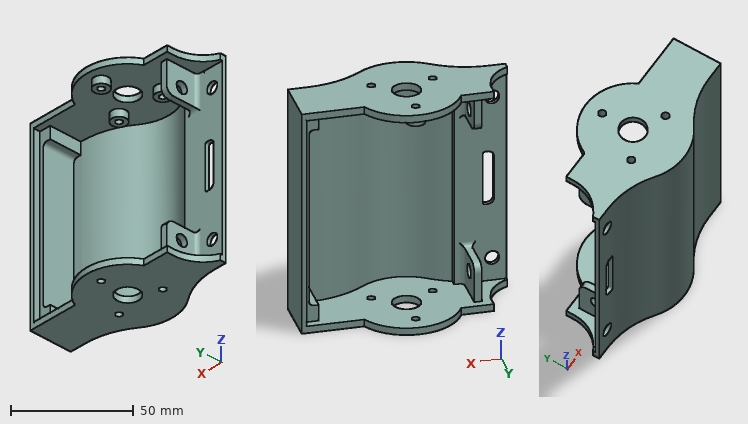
import cadquery as cq
import math

height = 101.2
left_end = -45.0
right_end = 47.0
back = 10.4
front_flat = -12.5

wall = 2.0
bulge_radius = 25.0
blend_radius = 40.0
blend_rise = bulge_radius + blend_radius
blend_y = front_flat - blend_radius
blend_x = math.sqrt(blend_rise**2 - blend_y**2)

plate = 3.2
disc_radius = bulge_radius - wall
scoop_x = -34.3
scoop_y = 6.8
scoop_tip_y = -9.4
center_hole = 12.0
bolt_hole = 3.3
bolt_circle = 15.0
bolt_angles = (90, 210, 330)
boss_diameter = 8.0
boss_height = 3.9

tab_face = -30.2
tab_thickness = 3.2
tab_back = tab_face + tab_thickness
tab_top_height = 19.6
tab_bottom_height = 20.2
tab_corner = 3.9
tab_hole = 6.0
tab_hole_y = -1.8
tab_hole_z = 37.3
inner_fillet = 2.0

rebate_wall = wall
right_wall = 2 * wall
block_depth = 4.0
block_top_height = 9.8
block_bottom_height = 10.5

screw_hole = 6.0
screw_hole_x = -39.0
screw_hole_z = 37.0
slot_left = -39.8
slot_right = -35.0
slot_length = 24.2
slot_left_corner = 2.6
slot_right_corner = 0.8

half = height / 2
inner_half = half - plate
floor_y = front_flat + wall
floor_end = tab_back + 2 * inner_fillet
wall_face = right_end - right_wall
edge_margin = 0.1


def box(x0, x1, y0, y1, z0, z1):
    """Axis-aligned block between two opposite corners."""
    return cq.Workplane("XY").box(x1 - x0, y1 - y0, z1 - z0, centered=False).translate((x0, y0, z0))


def front_region(offset):
    """Full-height solid behind the front surface moved inwards by offset, up to the rear edge."""
    bulge = bulge_radius - offset
    blend = blend_radius + offset
    flat_y = front_flat + offset
    join_x = blend_x * bulge / blend_rise
    join_y = blend_y * bulge / blend_rise
    half_angle = math.atan2(blend_x, -blend_y) / 2
    mid_x = blend_x - blend * math.sin(half_angle)
    mid_y = blend_y + blend * math.cos(half_angle)
    return (
        cq.Workplane("XY")
        .workplane(offset=-half)
        .moveTo(left_end, back)
        .lineTo(left_end, flat_y)
        .lineTo(-blend_x, flat_y)
        .threePointArc((-mid_x, mid_y), (-join_x, join_y))
        .threePointArc((0, -bulge), (join_x, join_y))
        .threePointArc((mid_x, mid_y), (blend_x, flat_y))
        .lineTo(right_end, flat_y)
        .lineTo(right_end, back)
        .close()
        .extrude(height)
    )


def scoop():
    """Full-height cutter that leaves the concave left side of the end plates."""
    run = scoop_x - left_end
    drop = scoop_y - scoop_tip_y
    radius = (run**2 + drop**2) / (2 * run)
    half_angle = math.atan2(drop, radius - run) / 2
    center_x = scoop_x - radius
    mid = (center_x + radius * math.cos(half_angle), scoop_y - radius * math.sin(half_angle))
    return (
        cq.Workplane("XY")
        .workplane(offset=-half)
        .moveTo(left_end, scoop_tip_y)
        .threePointArc(mid, (scoop_x, scoop_y))
        .lineTo(scoop_x, back)
        .lineTo(left_end, back)
        .close()
        .extrude(height)
    )


def end_plate(z):
    """Plate with the section outline and a round rear lobe; z is its lower face."""
    slab = box(left_end, right_end, -bulge_radius, disc_radius, z, z + plate)
    lobe = cq.Workplane("XY").workplane(offset=z).circle(disc_radius).extrude(plate)
    return outline.intersect(slab).cut(scoop()).union(lobe)


def tab(side, tab_height):
    """Tab against the top (side = 1) or bottom (side = -1) plate, standing on the flat floor."""
    z_outer = side * (half - wall / 2)
    z_free = side * (half - tab_height)
    body = box(tab_face, tab_back, floor_y - wall / 2, scoop_y, min(z_outer, z_free), max(z_outer, z_free))
    free_end = "<Z" if side > 0 else ">Z"
    return body.faces(free_end).edges(">Y").fillet(tab_corner)


def right_block(z0, z1):
    """Block on the inside of the right wall."""
    return box(wall_face - block_depth, right_end, front_flat, scoop_y, z0, z1)


def edge_box(corner_a, corner_b):
    """Selector for the edges centred in the box between two opposite corners."""
    low = tuple(min(a, b) - edge_margin for a, b in zip(corner_a, corner_b))
    high = tuple(max(a, b) + edge_margin for a, b in zip(corner_a, corner_b))
    return cq.selectors.BoxSelector(low, high)


outline = front_region(0)

part = outline.cut(front_region(wall))
part = part.union(box(left_end, floor_end, -bulge_radius, floor_y, -half, half).intersect(outline))

part = part.union(box(right_end - rebate_wall, right_end, front_flat, back, -half, half))
part = part.union(box(wall_face, right_end, front_flat, scoop_y, -half, half))
part = part.union(right_block(half - block_top_height, half))
part = part.union(right_block(-half, block_bottom_height - half))
block_edges = part.edges(edge_box((wall_face, floor_y, -half), (wall_face, scoop_y, half)))
part = block_edges.edges("|Y").fillet(inner_fillet)

for skin_z in (half - wall, -half):
    part = part.union(box(scoop_x, floor_end, floor_y, scoop_y, skin_z, skin_z + wall))
for side, tab_height in ((1, tab_top_height), (-1, tab_bottom_height)):
    part = part.union(tab(side, tab_height))
    z_skin = side * (half - wall)
    z_free = side * (half - tab_height)
    floor_edges = edge_box((tab_face, floor_y, z_free), (tab_back, floor_y, z_skin))
    skin_edge = edge_box((tab_face, floor_y, z_skin), (tab_face, scoop_y, z_skin))
    part = part.edges(floor_edges).fillet(inner_fillet)
    part = part.edges(skin_edge).edges("|Y").fillet(inner_fillet)

part = part.union(end_plate(inner_half)).union(end_plate(-half))

bolt_points = [
    (bolt_circle * math.cos(math.radians(angle)), bolt_circle * math.sin(math.radians(angle)))
    for angle in bolt_angles
]
bosses = (
    cq.Workplane("XY")
    .workplane(offset=inner_half - boss_height)
    .pushPoints(bolt_points)
    .circle(boss_diameter / 2)
    .extrude(boss_height + plate / 2)
)
part = part.union(bosses)
bottom_plane = cq.Workplane("XY").workplane(offset=-half)
part = part.cut(bottom_plane.pushPoints(bolt_points).circle(bolt_hole / 2).extrude(height))
part = part.cut(bottom_plane.circle(center_hole / 2).extrude(height))

tab_holes = (
    cq.Workplane("YZ")
    .workplane(offset=tab_face)
    .pushPoints([(tab_hole_y, tab_hole_z), (tab_hole_y, -tab_hole_z)])
    .circle(tab_hole / 2)
    .extrude(tab_thickness)
)
part = part.cut(tab_holes)

screw_holes = (
    cq.Workplane("XZ")
    .pushPoints([(screw_hole_x, screw_hole_z), (screw_hole_x, -screw_hole_z)])
    .circle(screw_hole / 2)
    .extrude(bulge_radius)
)
slot = box(slot_left, slot_right, -bulge_radius, 0, -slot_length / 2, slot_length / 2)
slot = slot.edges("|Y and <X").fillet(slot_left_corner)
slot = slot.edges("|Y and >X").fillet(slot_right_corner)
part = part.cut(screw_holes).cut(slot)

result = part